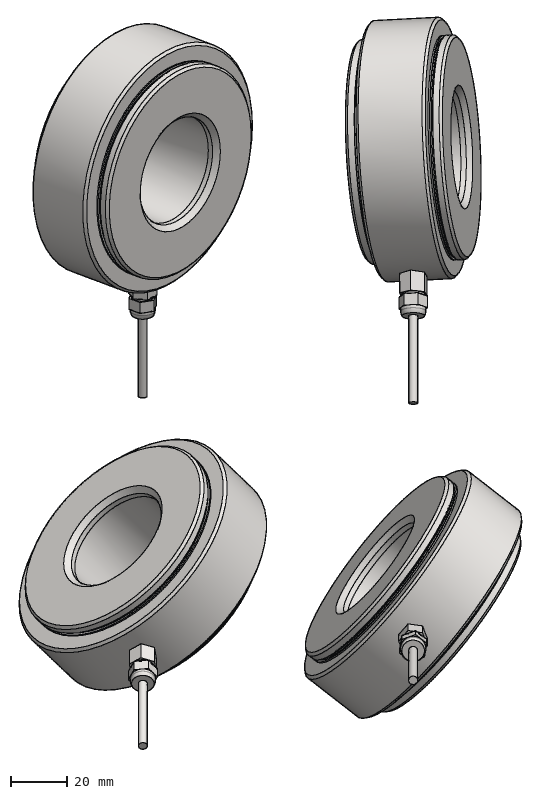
import cadquery as cq
import math

TOTAL_WIDTH = 35.0
BORE_DIAMETER = 40.0

HOUSING_DIAMETER = 93.0
HOUSING_WIDTH = 25.0
HOUSING_CHAMFER = 1.0
SHOULDER_WIDTH = 0.5

PLATE_DIAMETER = 80.0
PLATE_THICKNESS = 4.0
PLATE_RIM_WIDTH = 3.4
PLATE_CHAMFER = 1.0
GROOVE_DEPTH = 0.8
BORE_CHAMFER = 2.0

HEX_ACROSS_FLATS = 9.0
HEX_LENGTH = 7.2
NECK_DIAMETER = 8.3
NECK_LENGTH = 0.8
NUT_LENGTH = 4.4
COLLAR_LENGTH = 1.1
DOME_LENGTH = 1.7
DOME_END_DIAMETER = 8.0

CABLE_DIAMETER = 3.2
TOTAL_HEIGHT = 140.5

HOUSING_RADIUS = HOUSING_DIAMETER / 2
PLATE_RADIUS = PLATE_DIAMETER / 2
BORE_RADIUS = BORE_DIAMETER / 2
HALF_WIDTH = TOTAL_WIDTH / 2
GROOVE_RADIUS = PLATE_RADIUS - GROOVE_DEPTH
PLATE_INNER_X = HALF_WIDTH - PLATE_THICKNESS
HEX_CORNER_DIAMETER = HEX_ACROSS_FLATS / math.cos(math.pi / 6)

HEX_BOTTOM = -HOUSING_RADIUS - HEX_LENGTH
NUT_TOP = HEX_BOTTOM - NECK_LENGTH
NUT_BOTTOM = NUT_TOP - NUT_LENGTH
DOME_TOP = NUT_BOTTOM - COLLAR_LENGTH
DOME_BOTTOM = DOME_TOP - DOME_LENGTH
CABLE_BOTTOM = HOUSING_RADIUS - TOTAL_HEIGHT


def x_cylinder(diameter, length):
    """Cylinder along X, centred on the origin."""
    return cq.Workplane("YZ").workplane(offset=-length / 2).circle(diameter / 2).extrude(length)


def z_cylinder(diameter, bottom, top):
    return cq.Workplane("XY").workplane(offset=bottom).circle(diameter / 2).extrude(top - bottom)


def hexagon(bottom, top, turn):
    """Hexagonal prism; a turn of 0 degrees puts two corners on the X axis."""
    return (
        cq.Workplane("XY")
        .workplane(offset=bottom)
        .polygon(6, HEX_CORNER_DIAMETER)
        .extrude(top - bottom)
        .rotate((0, 0, 0), (0, 0, 1), turn)
    )


def make_housing():
    """Chamfered ring with a shoulder and a smaller neck on each side."""
    ring = x_cylinder(HOUSING_DIAMETER, HOUSING_WIDTH).edges().chamfer(HOUSING_CHAMFER)
    shoulders = x_cylinder(PLATE_DIAMETER, HOUSING_WIDTH + 2 * SHOULDER_WIDTH)
    necks = x_cylinder(2 * GROOVE_RADIUS, 2 * PLATE_INNER_X)
    bore = x_cylinder(BORE_DIAMETER, TOTAL_WIDTH)
    return ring.union(shoulders).union(necks).cut(bore)


def make_plate(side):
    """Chamfered side plate, stepped in next to the housing; side is -1 or 1 along X."""
    inner = side * PLATE_INNER_X
    outer = side * HALF_WIDTH
    rim_inner = outer - side * PLATE_RIM_WIDTH
    return (
        cq.Workplane("XY")
        .moveTo(inner, BORE_RADIUS)
        .lineTo(inner, GROOVE_RADIUS)
        .lineTo(rim_inner, GROOVE_RADIUS)
        .lineTo(rim_inner, PLATE_RADIUS)
        .lineTo(outer - side * PLATE_CHAMFER, PLATE_RADIUS)
        .lineTo(outer, PLATE_RADIUS - PLATE_CHAMFER)
        .lineTo(outer, BORE_RADIUS + BORE_CHAMFER)
        .lineTo(outer - side * BORE_CHAMFER, BORE_RADIUS)
        .close()
        .revolve(360, (0, 0, 0), (1, 0, 0))
    )


def make_gland_end():
    """Round collar whose lower end curves inward, starting tangent to its side."""
    collar_radius = HEX_ACROSS_FLATS / 2
    return (
        cq.Workplane("XZ")
        .moveTo(0, NUT_BOTTOM)
        .lineTo(collar_radius, NUT_BOTTOM)
        .lineTo(collar_radius, DOME_TOP)
        .tangentArcPoint((DOME_END_DIAMETER / 2, DOME_BOTTOM), relative=False)
        .lineTo(0, DOME_BOTTOM)
        .close()
        .revolve(360, (0, 0, 0), (0, 1, 0))
    )


def make_gland():
    """Two hexagons turned by 30 degrees, seated on the round housing."""
    seat = x_cylinder(HOUSING_DIAMETER, HOUSING_WIDTH)
    upper_hex = hexagon(HEX_BOTTOM, -HOUSING_RADIUS + HEX_ACROSS_FLATS / 2, 30).cut(seat)
    neck = z_cylinder(NECK_DIAMETER, NUT_TOP, HEX_BOTTOM)
    nut = hexagon(NUT_BOTTOM, NUT_TOP, 0)
    cable_hole = z_cylinder(CABLE_DIAMETER, DOME_BOTTOM, NUT_TOP)
    return upper_hex.union(neck).union(nut).union(make_gland_end()).cut(cable_hole)


def make_cable():
    """Cable whose upper end fills the hole in the gland."""
    return z_cylinder(CABLE_DIAMETER, CABLE_BOTTOM, NUT_TOP)


housing = make_housing()
plates = [make_plate(side) for side in (-1, 1)]
gland = make_gland()
cable = make_cable()

result = cq.Compound.makeCompound(
    [housing.val(), *[plate.val() for plate in plates], gland.val(), cable.val()]
)